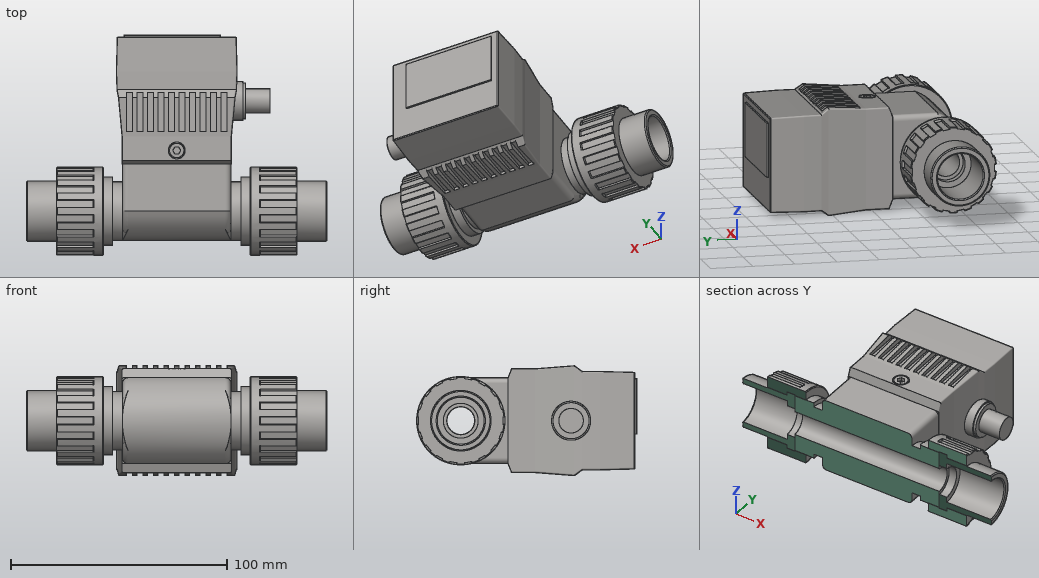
import cadquery as cq
import math


pipe_half_length = 69.5
nut_outer_x = 55.6
nut_inner_x = 33.9
tail_flange_width = 4.2
joint_x = 40.3
tail_flange_x = joint_x + tail_flange_width
collar_x = 29.6
block_half_width = 25.1

block_half_height = 19.9
block_front = 13.6
block_back = 21.8
block_fillet = 2.6
neck_radius = block_front
collar_radius = 15.8
fitting_bore_radius = 6.4

nut_radius = 20.4
nut_chamfer = 0.4
grip_slot_count = 18
grip_slot_floor_width = 3.2
grip_slot_depth = 1.0
grip_slot_flare = 20.0
nut_rim_width = 4.7

tail_radius = 14.0
tail_chamfer = 0.5
socket_radius = 10.8
tail_bore_radius = 8.0

housing_back = 80.6
housing_edge = 0.7
back_chamfer = 0.4
skirt_half_x, skirt_half_z = 25.3, 24.0
peak_half_z = 25.4
housing_stations = [
    (block_back, skirt_half_x, block_half_height),
    (23.5, skirt_half_x, skirt_half_z),
    (34.5, skirt_half_x, skirt_half_z),
    (52.5, 27.0, peak_half_z),
    (56.1, 27.6, 22.8),
    (64.5, 27.9, 22.8),
    (housing_back, 27.5, 22.4),
]

vent_count = 10
vent_pitch = 4.9
vent_width = 2.8
vent_start_y = 36.8
vent_end_y = 54.9
vent_floor_z = 22.6

screw_y = 28.0
screw_hole_radius = 3.9
screw_head_radius = 3.3
screw_hole_depth = 2.8
hex_across_flats = 3.2
hex_depth = 1.7

connector_y = 51.0
connector_seat_x = 23.6
connector_flange_radius = 9.0
connector_flange_x = 30.5
connector_lip_radius = 8.3
connector_lip_x = 31.8
connector_plug_radius = 5.7
connector_tip_x = 43.2

label_thickness = 0.8
label_left, label_right = -24.3, 20.1
label_bottom, label_top = -6.3, 19.5


def x_cylinder(radius, start_x, end_x, center_y=0.0):
    """Cylinder along X between two stations."""
    return (
        cq.Workplane("YZ", origin=(start_x, center_y, 0))
        .circle(radius)
        .extrude(end_x - start_x)
    )


def make_fitting():
    """Flow block with an arched front, two necks with threaded collars, and a through bore."""
    arc_radius = (block_half_height**2 + block_front**2) / (2 * block_front)
    arc_center_y = arc_radius - block_front
    arch = (
        cq.Workplane("YZ", origin=(-block_half_width, 0, 0))
        .moveTo(block_back, -arc_radius)
        .lineTo(arc_center_y, -arc_radius)
        .threePointArc((-block_front, 0), (arc_center_y, arc_radius))
        .lineTo(block_back, arc_radius)
        .close()
        .extrude(2 * block_half_width)
    )
    slab = cq.Workplane("XY").box(2 * block_half_width, 2 * block_back, 2 * block_half_height)
    slab = slab.edges("|Y").fillet(block_fillet)
    block = arch.faces("<X or >X").edges("not >Y").fillet(block_fillet).intersect(slab)

    core_radius = neck_radius + block_fillet
    core = x_cylinder(core_radius, -block_half_width, block_half_width).edges().chamfer(block_fillet)
    core = core.intersect(arch)
    fitting = block.union(core).union(x_cylinder(neck_radius, -joint_x, joint_x))
    for side in (-1, 1):
        fitting = fitting.union(x_cylinder(collar_radius, side * collar_x, side * joint_x))
    return fitting.cut(x_cylinder(fitting_bore_radius, -joint_x, joint_x))


def make_nut():
    """Union nut at -X, with a stepped bore and grip slots open toward the pipe end."""
    nut = x_cylinder(nut_radius, -nut_outer_x, -nut_inner_x).edges().chamfer(nut_chamfer)
    nut = nut.cut(x_cylinder(tail_radius, -nut_outer_x, -nut_inner_x))
    nut = nut.cut(x_cylinder(collar_radius, -tail_flange_x, -nut_inner_x))
    slot_length = nut_outer_x - nut_inner_x - nut_rim_width
    slot = (
        cq.Workplane("XY", origin=(-nut_outer_x, 0, nut_radius - grip_slot_depth))
        .rect(2 * slot_length, grip_slot_floor_width)
        .extrude(grip_slot_depth, taper=-grip_slot_flare)
        .rotate((0, 0, 0), (1, 0, 0), 90)
    )
    for index in range(grip_slot_count):
        nut = nut.cut(slot.rotate((0, 0, 0), (1, 0, 0), index * 360 / grip_slot_count))
    return nut


def make_tail():
    """Tail pipe at -X, held in the nut by its flange, with a socket for the line pipe."""
    tail = x_cylinder(tail_radius, -pipe_half_length, -joint_x).faces("<X").chamfer(tail_chamfer)
    tail = tail.union(x_cylinder(collar_radius, -tail_flange_x, -joint_x))
    tail = tail.cut(x_cylinder(tail_bore_radius, -pipe_half_length, -joint_x))
    tail = tail.cut(x_cylinder(socket_radius, -pipe_half_length, -tail_flange_x))
    socket_mouth = cq.selectors.RadiusNthSelector(0)
    return tail.faces("<X").edges(socket_mouth).chamfer(tail_chamfer)


def rounded_section(y, half_x, half_z):
    """Rounded rectangle across the housing at one Y station."""
    section = cq.Sketch().rect(2 * half_x, 2 * half_z).vertices().fillet(housing_edge)
    return section.moved(cq.Location(cq.Plane((0, y, 0), xDir=(1, 0, 0), normal=(0, 1, 0))))


def make_shell():
    """Outer shape of the housing: straight drafted stretches between rounded sections."""
    sections = [rounded_section(*station) for station in housing_stations]
    shell = cq.Workplane("XY").placeSketch(*sections).loft(ruled=True)
    return shell.faces(">Y").edges().chamfer(back_chamfer)


def vent_slots():
    """One row of cutters through the top skin and its mirror image for the bottom skin."""
    depth = peak_half_z - vent_floor_z
    row = (
        cq.Workplane("XY", origin=(0, (vent_start_y + vent_end_y) / 2, vent_floor_z))
        .rarray(vent_pitch, 1.4, vent_count, 1)
        .rect(vent_width, vent_end_y - vent_start_y)
        .extrude(depth)
    )
    return row.add(row.mirror("XY")).combine(glue=False)


def make_housing():
    """Drafted housing with vents, a screw hole on top and a round recess for the connector."""
    housing = make_shell().cut(vent_slots())
    screw_hole = screw_blank(screw_hole_radius)
    connector_seat = x_cylinder(connector_flange_radius, connector_seat_x, connector_flange_x, connector_y)
    return housing.cut(screw_hole).cut(connector_seat)


def screw_blank(radius):
    """Upright cylinder from the floor of the screw hole to the top face of the skirt."""
    return (
        cq.Workplane("XY", origin=(0, screw_y, skirt_half_z - screw_hole_depth))
        .circle(radius)
        .extrude(screw_hole_depth)
    )


def make_screw():
    """Screw head, flush with the skirt, with a hexagon socket."""
    hex_across_corners = hex_across_flats / math.cos(math.pi / 6)
    return (
        screw_blank(screw_head_radius)
        .faces(">Z")
        .workplane()
        .polygon(6, hex_across_corners)
        .cutBlind(-hex_depth)
    )


def make_connector():
    """Cable connector: round flange with a lip and a plug pointing toward +X."""
    flange = x_cylinder(connector_flange_radius, connector_seat_x, connector_flange_x, connector_y)
    lip = x_cylinder(connector_lip_radius, connector_flange_x, connector_lip_x, connector_y)
    plug = x_cylinder(connector_plug_radius, connector_lip_x, connector_tip_x, connector_y)
    return flange.union(lip).union(plug)


def make_label():
    """Flat label on the back of the housing."""
    return cq.Workplane("XY").box(
        label_right - label_left, label_thickness, label_top - label_bottom, centered=False
    ).translate((label_left, housing_back, label_bottom))


fitting = make_fitting()
housing = make_housing()
screw = make_screw()
connector = make_connector()
label = make_label()

left_nut = make_nut()
left_tail = make_tail()
nuts = []
tails = []
for nut, tail in [(left_nut, left_tail), (left_nut.mirror("YZ"), left_tail.mirror("YZ"))]:
    nuts.append(nut.val())
    tails.append(tail.val())

result = cq.Compound.makeCompound(
    [fitting.val(), housing.val(), screw.val(), connector.val(), label.val(), *nuts, *tails]
)